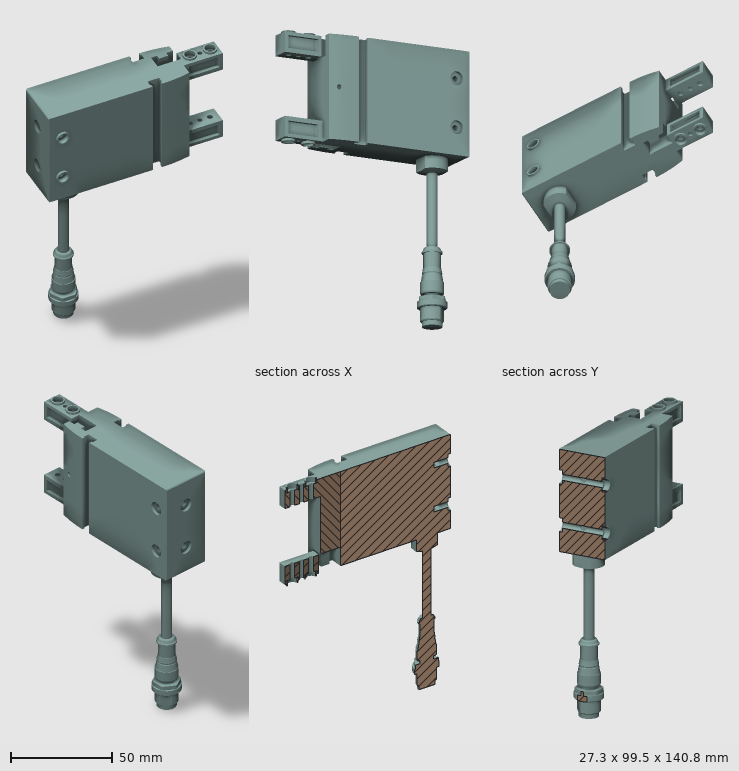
import cadquery as cq

WIDTH = 26.0
HEIGHT = 53.8
FRONT_Y = 78.1
FRONT_WIDTH = 22.5
BACK_CHAMFER = 0.49
MID_Z = HEIGHT / 2

GROOVE_Y = 59.7
GROOVE_MOUTH = 5.0
GROOVE_WIDTH = 6.5
GROOVE_FLOOR_X = 8.3
GROOVE_LIP = 1.5
GROOVE_FILLET = 0.5
TAPER_START_Y = GROOVE_Y + GROOVE_MOUTH / 2

SLOT_FLOOR_Y = 66.2
NECK_START_Y = 69.4
NECK_END_Y = 74.5
SLOT_HALF = 7.39
NECK_HALF = 5.0

MOUNT_Z = (14.2, 39.3)
SIDE_MOUNT_Y = 7.5
SIDE_BORE = 3.0
BACK_BORE = 3.2
BACK_BORE_DEPTH = 9.9
VENT_DIAMETER = 2.5
VENT_DEPTH = 2.8
VENT_Y = 73.0

SLEEVE_OD = 7.0
SLEEVE_ID = 5.5
SLEEVE_SEAT = 1.7
SLEEVE_PROTRUSION = 1.3
SLEEVE_LENGTH = SLEEVE_SEAT + SLEEVE_PROTRUSION

JAW_TIP_Y = 99.5
JAW_HEIGHT = 10.5
RAIL_HEIGHT = HEIGHT - JAW_HEIGHT
JAW_SHOULDER_Y = 79.1
JAW_HOLE_Y = 89.4
JAW_HOLE_PITCH = 11.1
JAW_SCREW_Y = (JAW_HOLE_Y - JAW_HOLE_PITCH / 2, JAW_HOLE_Y + JAW_HOLE_PITCH / 2)
SCREW_BORE = 3.0
DOWEL_BORE = 2.5
POCKET_LENGTH = 16.9
POCKET_HEIGHT = 6.5
POCKET_DEPTH = 1.8
POCKET_FILLET = 1.0
POCKET_Y = 89.3
POCKET_TOP_GAP = 1.8

CABLE_Y = 14.4
CABLE_RADIUS = 2.75
CABLE_END_Z = -45.3
BOTTOM_Z = -85.7
GLAND_RADIUS = 8.0
GLAND_RIM_Z = -6.3
GLAND_TIP_RADIUS = 3.4
GLAND_END_Z = -7.5
GLAND_FLATS = 13.0
NUT_FLATS = 13.0
NUT_CORNERS = 14.4
NUT_TOP_Z = -70.8
FLANGE_RADIUS = 7.53
FLANGE_TOP_Z = -73.1
FLANGE_END_Z = -76.3
FLANGE_CHAMFER = 0.4
COUPLING_RADIUS = 5.98
COUPLING_FLAT_OFFSET = 5.2
COUPLING_FLAT_ANGLE = 225
COUPLING_END_Z = -83.4


def box(x0, x1, y0, y1, z0, z1):
    return cq.Workplane("XY").box(x1 - x0, y1 - y0, z1 - z0, centered=False).translate((x0, y0, z0))


def rod(start, direction, diameter, length):
    """Cylinder that begins at `start` and runs along `direction`."""
    solid = cq.Solid.makeCylinder(diameter / 2, length, cq.Vector(*start), cq.Vector(*direction))
    return cq.Workplane("XY").add(solid)



def make_block():
    half_outline = (
        cq.Workplane("XY")
        .lineTo(WIDTH / 2, 0)
        .lineTo(WIDTH / 2, TAPER_START_Y)
        .tangentArcPoint((FRONT_WIDTH / 2, FRONT_Y), relative=False)
        .lineTo(0, FRONT_Y)
        .close()
    )
    half = half_outline.extrude(HEIGHT)
    block = half.union(half.mirror("YZ"))
    return block.faces("<Y").edges().chamfer(BACK_CHAMFER)


def make_side_groove(side):
    """T-shaped groove cutter, side is -1 for -X and +1 for +X."""
    mouth = box(GROOVE_FLOOR_X, WIDTH, GROOVE_Y - GROOVE_MOUTH / 2, GROOVE_Y + GROOVE_MOUTH / 2, 0, HEIGHT)
    cavity = box(
        GROOVE_FLOOR_X, WIDTH / 2 - GROOVE_LIP,
        GROOVE_Y - GROOVE_WIDTH / 2, GROOVE_Y + GROOVE_WIDTH / 2,
        0, HEIGHT,
    )
    groove = cavity.edges("|Z and <X").fillet(GROOVE_FILLET).union(mouth)
    return groove if side > 0 else groove.mirror("YZ")


def make_guide_slot():
    return (
        box(-NECK_HALF, NECK_HALF, SLOT_FLOOR_Y, FRONT_Y, 0, HEIGHT)
        .union(box(-SLOT_HALF, SLOT_HALF, SLOT_FLOOR_Y, NECK_START_Y, 0, HEIGHT))
        .union(box(-SLOT_HALF, SLOT_HALF, NECK_END_Y, FRONT_Y, 0, HEIGHT))
    )


def make_mounting_holes():
    holes = cq.Workplane("XY")
    for z in MOUNT_Z:
        left = (-WIDTH / 2, SIDE_MOUNT_Y, z)
        right = (WIDTH / 2, SIDE_MOUNT_Y, z)
        back = (0, 0, z)
        holes = (
            holes.add(rod(left, (1, 0, 0), SIDE_BORE, WIDTH))
            .add(rod(left, (1, 0, 0), SLEEVE_OD, SLEEVE_SEAT))
            .add(rod(right, (-1, 0, 0), SLEEVE_OD, SLEEVE_SEAT))
            .add(rod(back, (0, 1, 0), BACK_BORE, BACK_BORE_DEPTH))
            .add(rod(back, (0, 1, 0), SLEEVE_OD, SLEEVE_SEAT))
        )
    return holes.combine()



def turn(profile):
    """Solid of revolution about Z from points of (radius, height)."""
    return cq.Workplane("XZ").polyline(profile).close().revolve(360, (0, 0, 0), (0, 1, 0))


def make_gland():
    profile = [
        (0, 0),
        (GLAND_RADIUS, 0),
        (GLAND_RADIUS, GLAND_RIM_Z),
        (GLAND_TIP_RADIUS, GLAND_END_Z),
        (0, GLAND_END_Z),
    ]
    between_flats = box(
        -GLAND_RADIUS, GLAND_RADIUS,
        -GLAND_FLATS / 2, GLAND_FLATS / 2,
        GLAND_END_Z, 0,
    )
    return turn(profile).intersect(between_flats).translate((0, CABLE_Y, 0))


def make_cable_and_plug():
    """Turned profile of radius and height, from the gland down to the plug tip."""
    profile = [
        (0, GLAND_END_Z),
        (CABLE_RADIUS, GLAND_END_Z),
        (CABLE_RADIUS, CABLE_END_Z),
        (3.8, CABLE_END_Z),
        (4.15, -45.8),
        (4.72, -47.0),
        (5.14, -47.5),
        (5.14, -48.3),
        (4.4, -48.3),
        (4.4, -55.9),
        (4.58, -55.9),
        (5.0, -58.6),
        (4.86, -58.9),
        (4.86, -59.4),
        (5.0, -59.7),
        (5.6, -63.1),
        (5.98, -63.1),
        (5.98, -68.4),
        (5.6, -69.3),
        (4.2, -69.3),
        (4.2, NUT_TOP_Z),
        (NUT_FLATS / 2, NUT_TOP_Z),
        (NUT_FLATS / 2, FLANGE_TOP_Z),
        (FLANGE_RADIUS, FLANGE_TOP_Z),
        (FLANGE_RADIUS, FLANGE_END_Z + FLANGE_CHAMFER),
        (FLANGE_RADIUS - FLANGE_CHAMFER, FLANGE_END_Z),
        (COUPLING_RADIUS, FLANGE_END_Z),
        (COUPLING_RADIUS, -82.8),
        (5.42, COUPLING_END_Z),
        (5.0, COUPLING_END_Z),
        (5.0, BOTTOM_Z),
        (0, BOTTOM_Z),
    ]
    return turn(profile).union(make_hex_nut()).cut(make_coupling_flat()).translate((0, CABLE_Y, 0))


def make_hex_nut():
    """Hexagon with flats towards X, its corners turned down."""
    thickness = NUT_TOP_Z - FLANGE_TOP_Z
    hexagon = (
        cq.Workplane("XY", origin=(0, 0, FLANGE_TOP_Z))
        .polygon(6, NUT_FLATS, circumscribed=True)
        .extrude(thickness)
    )
    return hexagon.intersect(rod((0, 0, FLANGE_TOP_Z), (0, 0, 1), NUT_CORNERS, thickness))


def make_coupling_flat():
    cutter = box(
        COUPLING_FLAT_OFFSET, FLANGE_RADIUS,
        -FLANGE_RADIUS, FLANGE_RADIUS,
        COUPLING_END_Z, FLANGE_END_Z,
    )
    return cutter.rotate((0, 0, 0), (0, 0, 1), COUPLING_FLAT_ANGLE)


def make_housing():
    housing = make_block().cut(make_guide_slot()).cut(make_mounting_holes())
    for side in (-1, 1):
        housing = housing.cut(make_side_groove(side))
    housing = housing.cut(rod((-WIDTH / 2, VENT_Y, MID_Z), (1, 0, 0), VENT_DIAMETER, VENT_DEPTH))
    return housing.union(make_gland()).union(make_cable_and_plug())



def turn_over(body):
    """Half turn about the Y direction at mid height, from the upper jaw's place to the lower's."""
    return body.rotate((0, 0, MID_Z), (0, 1, MID_Z), 180)


def make_jaw():
    """Upper jaw: a finger with a half rail that fills the +X side of the guide slot."""
    finger_z = HEIGHT - JAW_HEIGHT
    rail_z = HEIGHT - RAIL_HEIGHT
    jaw = (
        box(-NECK_HALF, NECK_HALF, JAW_SHOULDER_Y, JAW_TIP_Y, finger_z, HEIGHT)
        .union(box(0, NECK_HALF, FRONT_Y, JAW_SHOULDER_Y, finger_z, HEIGHT))
        .union(box(0, NECK_HALF, SLOT_FLOOR_Y, FRONT_Y, rail_z, HEIGHT))
        .union(box(0, SLOT_HALF, SLOT_FLOOR_Y, NECK_START_Y, rail_z, HEIGHT))
        .union(box(0, SLOT_HALF, NECK_END_Y, FRONT_Y, rail_z, HEIGHT))
    )
    for y in JAW_SCREW_Y:
        jaw = jaw.cut(rod((0, y, HEIGHT), (0, 0, -1), SCREW_BORE, JAW_HEIGHT))
        jaw = jaw.cut(rod((0, y, HEIGHT), (0, 0, -1), SLEEVE_OD, SLEEVE_SEAT))
    jaw = jaw.cut(rod((0, JAW_HOLE_Y, HEIGHT), (0, 0, -1), DOWEL_BORE, JAW_HEIGHT))
    pocket = make_jaw_pocket()
    return jaw.cut(pocket).cut(pocket.mirror("YZ"))


def make_jaw_pocket():
    """Cutter for the +X face; the end walls meet the floor in fillets."""
    z1 = HEIGHT - POCKET_TOP_GAP
    pocket = box(
        NECK_HALF - POCKET_DEPTH, NECK_HALF + POCKET_DEPTH,
        POCKET_Y - POCKET_LENGTH / 2, POCKET_Y + POCKET_LENGTH / 2,
        z1 - POCKET_HEIGHT, z1,
    )
    return pocket.edges("|Z and <X").fillet(POCKET_FILLET)


def make_sleeve(centre, direction):
    """Ring on the seat floor below `centre`, standing out along `direction`."""
    plane = cq.Plane(origin=centre, normal=direction)
    return (
        cq.Workplane(plane)
        .workplane(offset=-SLEEVE_SEAT)
        .circle(SLEEVE_OD / 2)
        .circle(SLEEVE_ID / 2)
        .extrude(SLEEVE_LENGTH)
    )


housing = make_housing()
upper_jaw = make_jaw()
lower_jaw = turn_over(upper_jaw)
upper_sleeves = [make_sleeve((0, y, HEIGHT), (0, 0, 1)) for y in JAW_SCREW_Y]
lower_sleeves = [turn_over(sleeve) for sleeve in upper_sleeves]
side_sleeves = [make_sleeve((WIDTH / 2, SIDE_MOUNT_Y, z), (1, 0, 0)) for z in MOUNT_Z]
sleeves = upper_sleeves + lower_sleeves + side_sleeves

result = cq.Compound.makeCompound(
    [housing.val(), upper_jaw.val(), lower_jaw.val()] + [sleeve.val() for sleeve in sleeves]
)